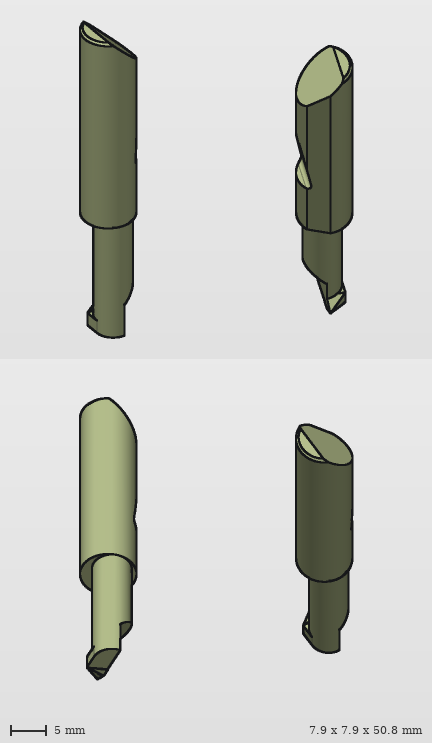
import cadquery as cq
import math

total_height = 50.8
shank_radius = 3.95
shoulder_z = 19.1
top_chamfer = 0.38

bevel_low_z = 44.8

flat_start_angle = 129.0
flat_end_angle = 178.5

notch_top_z = 36.7
notch_angle = 10.0
notch_length = 8.85
notch_corner_radius = 0.75

neck_radius = 2.8
neck_center_x = shank_radius - neck_radius
neck_bottom_z = 0.15
half_neck_z = 5.45

tip_left_x = -1.1
tip_top_z = 2.3
point_x = -3.5
point_z = 1.2
flank_angle = 30.0
heel_end_x = -0.15

cut_size = 4 * shank_radius


def extrude_yz(outline):
    """Prism through the whole part along X from (Y, Z) points."""
    return cq.Workplane("YZ").polyline(outline).close().extrude(cut_size / 2, both=True)


def make_shank():
    shank = (
        cq.Workplane("XY")
        .workplane(offset=shoulder_z)
        .circle(shank_radius)
        .extrude(total_height - shoulder_z)
        .faces(">Z")
        .chamfer(top_chamfer)
    )
    return shank.cut(top_bevel()).cut(side_flat()).cut(clamping_notch())


def top_bevel():
    low_y = cut_size / 2
    low_z = bevel_low_z - (low_y - shank_radius)
    high_z = low_z + cut_size
    return extrude_yz([(low_y, low_z), (low_y, high_z), (low_y - cut_size, high_z)])


def side_flat():
    half_span = math.radians(flat_end_angle - flat_start_angle) / 2
    flat_distance = shank_radius * math.cos(half_span)
    normal_angle = (flat_start_angle + flat_end_angle) / 2
    return (
        cq.Workplane("XY")
        .box(cut_size, cut_size, total_height, centered=(False, True, False))
        .translate((flat_distance, 0, 0))
        .rotate((0, 0, 0), (0, 0, 1), normal_angle)
    )


def clamping_notch():
    return (
        cq.Workplane("XY")
        .box(cut_size, shank_radius, notch_length, centered=(True, False, False))
        .edges("|X and <Y and <Z")
        .fillet(notch_corner_radius)
        .translate((0, 0, -notch_length))
        .rotate((0, 0, 0), (1, 0, 0), -notch_angle)
        .translate((0, shank_radius, notch_top_z))
    )


def make_neck():
    neck = (
        cq.Workplane("XY")
        .workplane(offset=neck_bottom_z)
        .center(neck_center_x, 0)
        .circle(neck_radius)
        .extrude(shoulder_z - neck_bottom_z)
    )
    runout = extrude_yz(
        [(0, 0), (cut_size, 0), (cut_size, half_neck_z + cut_size), (0, half_neck_z)]
    )
    return neck.cut(runout)


def make_tip_block():
    return (
        cq.Workplane("XY")
        .box(neck_center_x - tip_left_x, neck_radius, tip_top_z - neck_bottom_z, centered=False)
        .translate((tip_left_x, -neck_radius, neck_bottom_z))
    )


def make_cutting_point():
    slope = math.tan(math.radians(flank_angle))
    point = (point_x, 0, point_z)
    flank_top = (tip_left_x, 0, point_z + (tip_left_x - point_x) * slope)
    flank_bottom = (point_x + point_z / slope, 0, 0)
    heel_end = (heel_end_x, 0, 0)
    front_top = (tip_left_x, -neck_radius, tip_top_z)
    front_bottom = (tip_left_x, -neck_radius, neck_bottom_z)
    outlines = [
        (point, flank_top, heel_end, flank_bottom),
        (point, flank_top, front_top),
        (point, front_top, front_bottom),
        (point, front_bottom, flank_bottom),
        (flank_bottom, front_bottom, heel_end),
        (flank_top, front_top, heel_end),
        (front_top, front_bottom, heel_end),
    ]
    faces = []
    for outline in outlines:
        corners = [cq.Vector(*corner) for corner in outline]
        faces.append(cq.Face.makeFromWires(cq.Wire.makePolygon(corners, close=True)))
    return cq.Workplane(obj=cq.Solid.makeSolid(cq.Shell.makeShell(faces)))


result = make_shank().union(make_neck()).union(make_tip_block()).union(make_cutting_point())